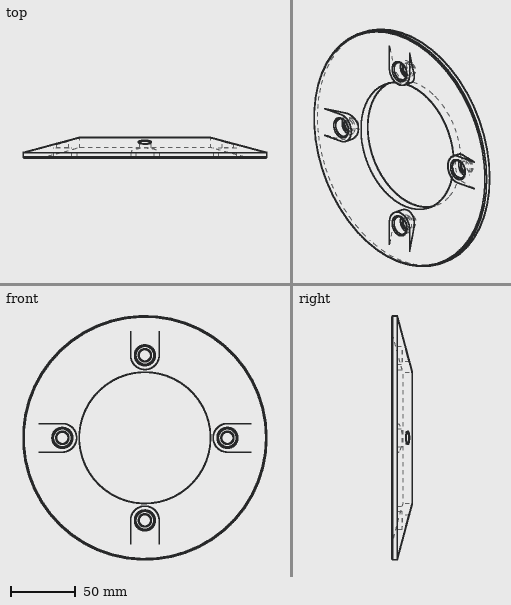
import cadquery as cq

outer_diameter = 188.0
bore_diameter = 101.0
total_depth = 16.0
rim_depth = 4.3
front_chamfer = 1.0

dish_diameter = 164.5
dish_depth = 8.5

pad_count = 4
pad_width = 22.0
screw_circle_diameter = 127.0

screw_hole_diameter = 9.0
hole_chamfer = 0.47
counterbore_diameter = 14.0
counterbore_mouth_diameter = 16.0
counterbore_depth = 7.9

outer_radius = outer_diameter / 2
bore_radius = bore_diameter / 2
dish_radius = dish_diameter / 2
screw_radius = screw_circle_diameter / 2


def revolve_about_y(points):
    """Revolve an outline of (radius, y) points about the Y axis."""
    return cq.Workplane("XY").polyline(points).close().revolve(360, (0, 0, 0), (0, 1, 0))


def make_ring():
    """Solid ring with a chamfered front edge and a conical back."""
    return revolve_about_y([
        (bore_radius, 0),
        (outer_radius - front_chamfer, 0),
        (outer_radius, front_chamfer),
        (outer_radius, rim_depth),
        (bore_radius, total_depth),
    ])


def make_dish():
    """Cone of material to remove between the rim and the bore."""
    return revolve_about_y([
        (bore_radius, 0),
        (dish_radius, 0),
        (bore_radius, dish_depth),
    ])


def make_pad():
    """Round-ended tongue, left standing in the dish."""
    tongue_length = outer_radius - screw_radius
    tongue = (
        cq.Workplane("XZ", origin=(0, 0, screw_radius + tongue_length / 2))
        .rect(pad_width, tongue_length)
        .extrude(-total_depth)
    )
    round_end = (
        cq.Workplane("XZ", origin=(0, 0, screw_radius))
        .circle(pad_width / 2)
        .extrude(-total_depth)
    )
    return tongue.union(round_end)


def make_screw_hole():
    """Through hole with a counterbore, chamfered at its mouth and at its floor."""
    hole_radius = screw_hole_diameter / 2
    counterbore_radius = counterbore_diameter / 2
    mouth_radius = counterbore_mouth_diameter / 2
    mouth_chamfer = mouth_radius - counterbore_radius
    hole = revolve_about_y([
        (0, 0),
        (mouth_radius, 0),
        (counterbore_radius, mouth_chamfer),
        (counterbore_radius, counterbore_depth),
        (hole_radius + hole_chamfer, counterbore_depth),
        (hole_radius, counterbore_depth + hole_chamfer),
        (hole_radius, total_depth),
        (0, total_depth),
    ])
    return hole.translate((0, 0, screw_radius))


def around_y(shape, index):
    """Copy of a shape turned to its place around the ring."""
    return shape.rotate((0, 0, 0), (0, 1, 0), index * 360 / pad_count)


pad = make_pad()
screw_hole = make_screw_hole()

dish = make_dish()
ring = make_ring()
for index in range(pad_count):
    dish = dish.cut(around_y(pad, index))
    ring = ring.cut(around_y(screw_hole, index))

ring = ring.edges("not (%CIRCLE or %LINE)").chamfer(hole_chamfer)

result = ring.cut(dish)